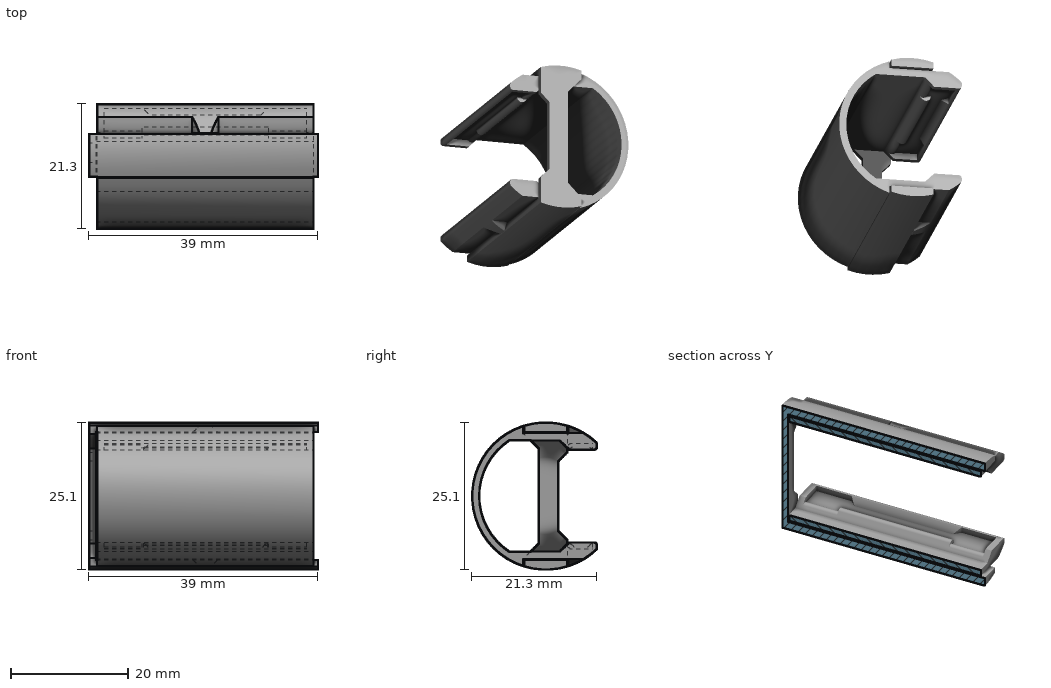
import cadquery as cq
import math

frame_length = 39.05
outer_radius = 12.555

plate_thickness = 1.2
rail_half_width = 3.67
rail_inner_z = 10.9
plate_shoulder_z = 10.55
plate_step_z = 7.45
web_front_y = -1.2
web_back_y = 2.15

sleeve_start = 1.35
sleeve_end = 38.25
sleeve_length = sleeve_end - sleeve_start
sleeve_middle = (sleeve_start + sleeve_end) / 2
bore_radius = 11.32
bore_flat_z = 9.5
jaw_inner_z = 7.9
jaw_tip_y = 8.728
jaw_tip_fillet = 0.5
jaw_root_y = 3.95
slot_half_width = 3.83
slot_floor_z = 10.75

stop_width = 4.45
stop_height = 1.95

trough_floor_z = 9.0
trough_wall_y = 7.95
trough_rim = 1.17
end_trough_length = 6.52
ridge_radius = 0.82
middle_ridge_y = 4.02
relief_length = 1.3
end_ridge_drop = 0.5

cut_margin = 0.8


def prism(points, start, length):
    """Extrude a YZ outline along X."""
    return cq.Workplane("YZ", origin=(start, 0, 0)).polyline(points).close().extrude(length)


def cylinder(radius, start, length, y=0.0, z=0.0):
    return cq.Workplane("YZ", origin=(start, 0, 0)).center(y, z).circle(radius).extrude(length)


def with_mirror(shape):
    """The shape together with its mirror image in Z."""
    return shape.union(shape.mirror("XY"))


def make_frame():
    upper_plate = prism(
        [
            (web_front_y, 0),
            (web_front_y, plate_shoulder_z - (rail_half_width + web_front_y)),
            (-rail_half_width, plate_shoulder_z),
            (-rail_half_width, outer_radius),
            (rail_half_width, outer_radius),
            (rail_half_width, plate_step_z),
            (web_back_y, plate_step_z - (rail_half_width - web_back_y)),
            (web_back_y, 0),
        ],
        0,
        plate_thickness,
    )
    rail_height = outer_radius - rail_inner_z
    rail = cq.Workplane("XY").box(
        frame_length, 2 * rail_half_width, rail_height, centered=(False, True, False)
    ).translate((0, 0, rail_inner_z))
    envelope = cylinder(outer_radius, 0, frame_length)
    return with_mirror(upper_plate.union(rail)).intersect(envelope)


def make_inner_opening():
    """Flat-sided bore at -Y, ramped down to the narrower mouth between the jaws."""
    ramp_end_y = jaw_root_y - (bore_flat_z - jaw_inner_z)
    bore = prism(
        [
            (-outer_radius, 0),
            (-outer_radius, bore_flat_z),
            (ramp_end_y, bore_flat_z),
            (jaw_root_y, jaw_inner_z),
            (jaw_root_y, 0),
        ],
        sleeve_start,
        sleeve_length,
    ).intersect(cylinder(bore_radius, sleeve_start, sleeve_length))
    mouth = prism(
        [
            (0, 0),
            (0, jaw_inner_z),
            (jaw_tip_y + cut_margin, jaw_inner_z),
            (jaw_tip_y + cut_margin, 0),
        ],
        sleeve_start,
        sleeve_length,
    )
    return with_mirror(bore.union(mouth))


def make_rail_slot():
    """Space for the rail, open on the outside and toward +Y, with the stop left standing."""
    top = slot_floor_z + stop_height
    opening = prism(
        [
            (-slot_half_width, slot_floor_z),
            (jaw_tip_y, slot_floor_z),
            (jaw_tip_y, top),
            (-slot_half_width, top),
        ],
        sleeve_start,
        sleeve_length,
    )
    stop_half = stop_width / 2
    stop = (
        cq.Workplane("XZ", origin=(sleeve_middle, slot_half_width, slot_floor_z))
        .polyline([
            (-stop_half, 0),
            (stop_half, 0),
            (stop_half - stop_height, stop_height),
            (stop_height - stop_half, stop_height),
        ])
        .close()
        .extrude(-(jaw_tip_y - slot_half_width))
    )
    return opening.cut(stop)


def make_trough(start, length, ridge_drop, wall_slope):
    """Trough in the upper jaw; wall_slope is the +Y wall's run per unit of depth."""
    ridge_y = middle_ridge_y - ridge_drop
    ridge_z = trough_floor_z + ridge_drop
    tangent = ridge_radius * math.sqrt(0.5)
    mouth_z = jaw_inner_z - cut_margin
    wall_run = wall_slope * (trough_floor_z - jaw_inner_z)
    trough = prism(
        [
            (trough_wall_y, mouth_z),
            (trough_wall_y, jaw_inner_z),
            (trough_wall_y - wall_run, trough_floor_z),
            (ridge_y, trough_floor_z),
            (ridge_y - tangent, ridge_z - tangent),
            (ridge_y - tangent, mouth_z),
        ],
        start,
        length,
    )
    return trough.cut(cylinder(ridge_radius, start, length, ridge_y, ridge_z))


def make_wall_relief(start, end):
    """Lets each end trough reach past its ridge step, ending in a wall at 45 degrees in plan."""
    depth = trough_floor_z - jaw_inner_z
    ramp_foot_y = trough_wall_y - depth
    first = (
        cq.Workplane("XY", origin=(start, ramp_foot_y, jaw_inner_z))
        .polyline([
            (0, 0),
            (relief_length, 0),
            (relief_length - depth, depth),
            (0, depth),
        ])
        .close()
        .extrude(depth)
    )
    return first.union(first.mirror("YZ", ((start + end) / 2, 0, 0)))


def make_sleeve():
    sleeve = cylinder(outer_radius, sleeve_start, sleeve_length)
    beyond_tip = cq.Workplane("XY").box(
        sleeve_length, outer_radius, 2 * outer_radius, centered=(False, False, True)
    ).translate((sleeve_start, jaw_tip_y, 0))
    sleeve = sleeve.cut(beyond_tip).cut(make_inner_opening())
    sleeve = sleeve.faces(">Y").edges("|X").fillet(jaw_tip_fillet)

    sleeve = sleeve.cut(with_mirror(make_rail_slot()))

    first_start = sleeve_start + trough_rim
    middle_start = first_start + end_trough_length
    middle_end = sleeve_end - trough_rim - end_trough_length
    for start in (first_start, middle_end):
        end_trough = make_trough(start, end_trough_length, end_ridge_drop, wall_slope=0)
        sleeve = sleeve.cut(with_mirror(end_trough))
    middle_trough = make_trough(middle_start, middle_end - middle_start, 0, wall_slope=1)
    sleeve = sleeve.cut(with_mirror(middle_trough))
    return sleeve.cut(with_mirror(make_wall_relief(middle_start, middle_end)))


frame = make_frame()
sleeve = make_sleeve()
result = cq.Compound.makeCompound([frame.solids().val(), sleeve.solids().val()])